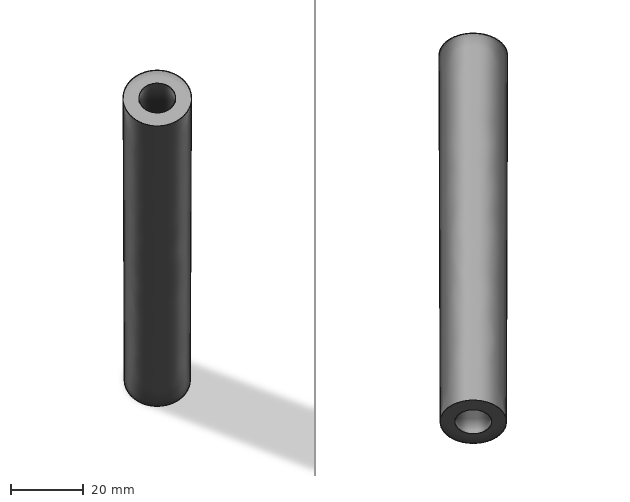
import cadquery as cq

length = 133.35
top_diameter = 18.93
bottom_diameter = 18.29
bore_diameter = 10.1

top_radius = top_diameter / 2
bottom_radius = bottom_diameter / 2
bore_radius = bore_diameter / 2


def tapered_tube():
    """Tube about Z: the outside widens slightly toward the top, the bore is straight."""
    wall_section = (
        cq.Workplane("YZ")
        .moveTo(-bore_radius, 0)
        .lineTo(-bottom_radius, 0)
        .lineTo(-top_radius, length)
        .lineTo(-bore_radius, length)
        .close()
    )
    return wall_section.revolve(360, (0, 0), (0, 1))


result = tapered_tube()